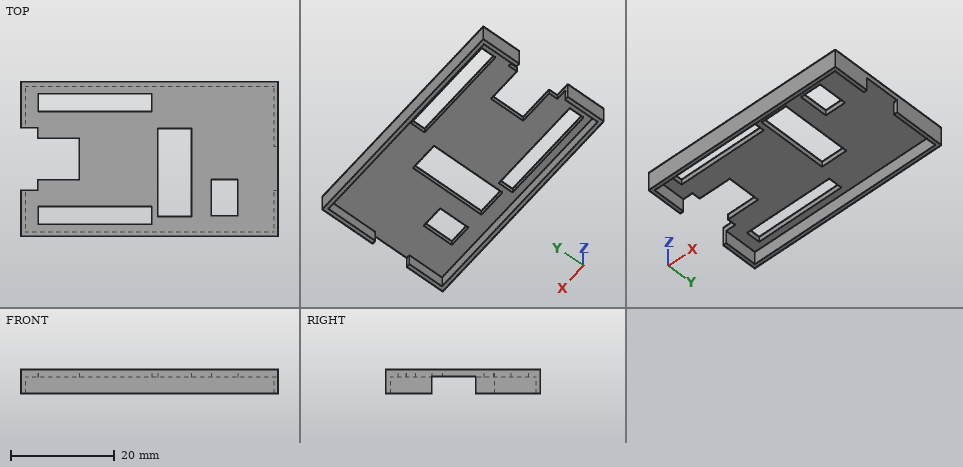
import cadquery as cq

length = 49.75
width = 29.9
height = 4.7
plate_thickness = 1.4
wall_thickness = 0.85
rim_height = height - plate_thickness
left = -length / 2
right = length / 2

slot_length = 21.9
slot_width = 3.4
slot_end_inset = 3.4
slot_side_inset = 2.35

notch_mouth_depth = 3.25
notch_mouth_width = 12.05
notch_depth = 11.25
notch_width = 7.95

large_window_bottom = -11.1
small_window_bottom = -10.95
large_window_inset = 26.5
large_window_length = 6.45
large_window_width = 16.95
small_window_inset = 36.85
small_window_length = 5.05
small_window_width = 6.95

end_opening_top = 2.45
end_opening_bottom = -notch_mouth_width / 2


def block(x_min, y_min, x_size, y_size, z_size=height):
    """Box rising from Z = 0, placed by its lowest X and Y corner."""
    return cq.Workplane("XY").box(x_size, y_size, z_size, centered=False).translate((x_min, y_min, 0))


def hollow_cover():
    cavity = block(
        left + wall_thickness,
        -width / 2 + wall_thickness,
        length - 2 * wall_thickness,
        width - 2 * wall_thickness,
        rim_height,
    )
    return block(left, -width / 2, length, width).cut(cavity)


def long_slots():
    lower_slot = block(left + slot_end_inset, -width / 2 + slot_side_inset, slot_length, slot_width)
    return lower_slot.union(lower_slot.mirror("XZ"))


def stepped_notch():
    mouth = block(left, -notch_mouth_width / 2, notch_mouth_depth, notch_mouth_width)
    return mouth.union(block(left, -notch_width / 2, notch_depth, notch_width))


def windows():
    large = block(left + large_window_inset, large_window_bottom, large_window_length, large_window_width)
    small = block(left + small_window_inset, small_window_bottom, small_window_length, small_window_width)
    return large.union(small)


def end_opening():
    opening_width = end_opening_top - end_opening_bottom
    return block(right - wall_thickness, end_opening_bottom, wall_thickness, opening_width, rim_height)


result = hollow_cover().cut(long_slots()).cut(stepped_notch()).cut(windows()).cut(end_opening())